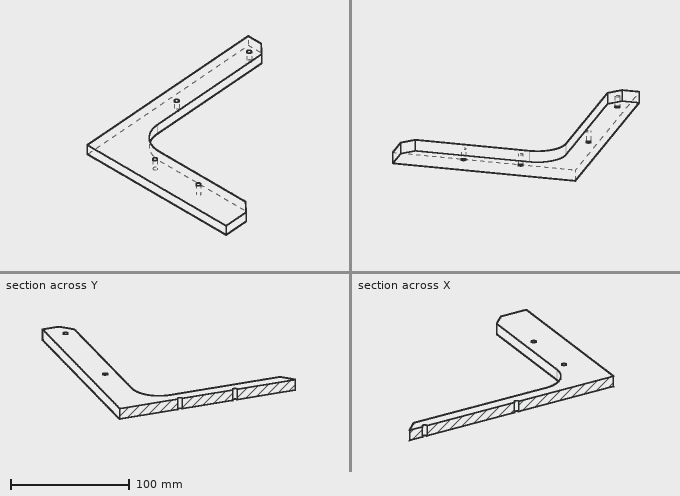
import cadquery as cq

length_x = 160.0
length_y = 200.0
thickness = 10.0

upright_width = 25.0
base_width = 35.0
inner_radius = 25.0
chamfer = 10.0

hole_diameter = 4.0
hole_inset = 10.0
upright_hole_heights = (95.0, 185.0)
base_hole_positions = (55.0, 105.0)


def l_plate():
    """L-shaped plate with its outer corner at the origin and chamfered arm ends."""
    outline = [
        (0, 0),
        (length_x, 0),
        (length_x, base_width - chamfer),
        (length_x - chamfer, base_width),
        (upright_width, base_width),
        (upright_width, length_y - chamfer),
        (upright_width - chamfer, length_y),
        (0, length_y),
    ]
    plate = cq.Workplane("XY").polyline(outline).close().extrude(thickness)
    inner_corner = cq.selectors.NearestToPointSelector((upright_width, base_width, thickness / 2))
    return plate.edges("|Z").edges(inner_corner).fillet(inner_radius)


def mounting_holes():
    """Cylinders for the two through holes in each arm."""
    upright_holes = [(upright_width - hole_inset, y) for y in upright_hole_heights]
    base_holes = [(x, base_width - hole_inset) for x in base_hole_positions]
    return (
        cq.Workplane("XY")
        .pushPoints(upright_holes + base_holes)
        .circle(hole_diameter / 2)
        .extrude(thickness)
    )


result = l_plate().cut(mounting_holes())